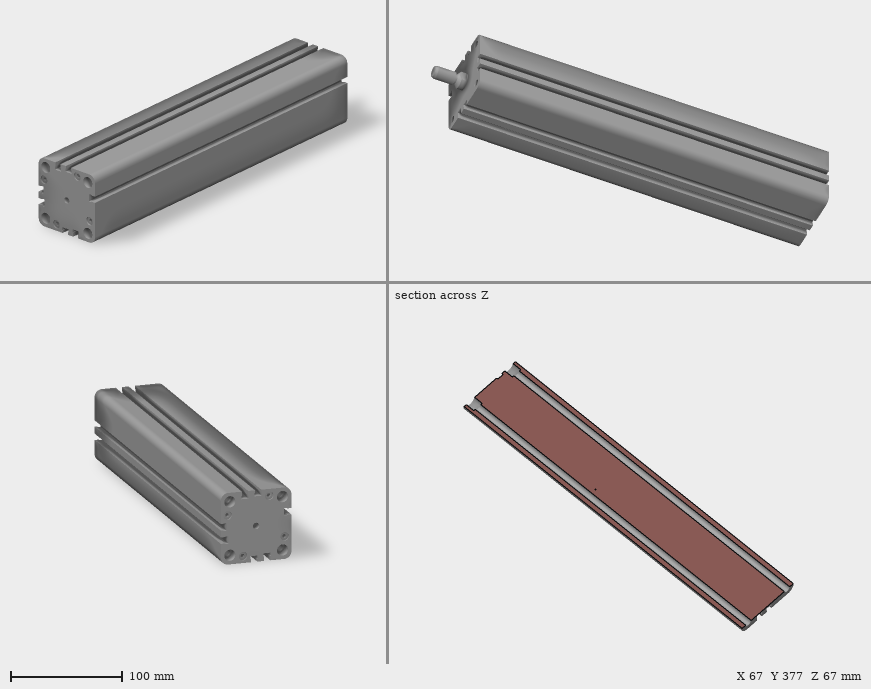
import cadquery as cq
import math

side = 67.0
half_side = side / 2
total_length = 377.0
rod_length = 31.0
body_length = total_length - rod_length
corner_radius = 6.8

slot_width = 6.0
undercut_width = 0.55
undercut_height = 3.0
deep_slot_offset = -10.5
deep_slot_depth = 7.0
deep_slot_angles = (0, 90, 180, 270)
shallow_slot_offset = 2.0
shallow_slot_depth = 5.5
shallow_slot_angles = (0, 90, 180)

mount_hole_spacing = 50.0
mount_hole_diameter = 6.8
counterbore_diameter = 10.5
counterbore_depth = 9.5
center_hole_diameter = 6.0
center_hole_depth = 5.5

screw_x = -27.0
screw_z = 12.5
screw_diameter = 8.0
screw_recess = 1.5
socket_flats = 3.5
socket_depth = 3.0

rod_diameter = 16.0
rod_collar_length = 5.5
rod_cone_length = 3.0
neck_diameter = 8.5
neck_length = 2.0
thread_diameter = 12.0
tip_diameter = 10.0
tip_chamfer_length = 2.5
wrench_flats = 12.5
flat_start = 1.0


def on_front(x, z):
    """Workplane on the front end face, pointing into the body."""
    return cq.Workplane(cq.Plane(origin=(x, 0, z), xDir=(-1, 0, 0), normal=(0, 1, 0)))


def turned(shape, angle):
    """Turn a shape about the long axis, counterclockwise as seen from the front."""
    return shape.rotate((0, 0, 0), (0, -1, 0), angle)


def slot(offset, depth):
    """Full-length T-slot in the top side."""
    floor = half_side - depth
    groove = (
        cq.Workplane("XY")
        .box(slot_width, body_length, depth, centered=(True, False, False))
        .translate((offset, 0, floor))
    )
    undercut = (
        cq.Workplane("XY")
        .box(slot_width + 2 * undercut_width, body_length, undercut_height, centered=(True, False, False))
        .translate((offset, 0, floor))
    )
    return groove.union(undercut)


def mount_hole(x, z):
    through = on_front(x, z).circle(mount_hole_diameter / 2).extrude(body_length)
    counterbore = on_front(x, z).circle(counterbore_diameter / 2).extrude(counterbore_depth)
    return through.union(counterbore)


def screw_pocket():
    recess = on_front(screw_x, screw_z).circle(screw_diameter / 2).extrude(screw_recess)
    socket_corners = socket_flats / math.cos(math.pi / 6)
    socket = (
        on_front(screw_x, screw_z)
        .transformed(rotate=(0, 0, 30))
        .polygon(6, socket_corners)
        .extrude(screw_recess + socket_depth)
    )
    return recess.union(socket)


def piston_rod():
    cone_start = body_length + rod_collar_length
    neck_start = cone_start + rod_cone_length
    thread_start = neck_start + neck_length
    outline = [
        (0, body_length),
        (rod_diameter / 2, body_length),
        (rod_diameter / 2, cone_start),
        (neck_diameter / 2, neck_start),
        (neck_diameter / 2, thread_start),
        (thread_diameter / 2, thread_start),
        (thread_diameter / 2, total_length - tip_chamfer_length),
        (tip_diameter / 2, total_length),
        (0, total_length),
    ]
    rod = cq.Workplane("XY").polyline(outline).close().revolve(360, (0, 0, 0), (0, 1, 0))
    flats_length = thread_start - body_length - flat_start
    flats_middle = body_length + flat_start + flats_length / 2
    for direction in (-1, 1):
        cutter = cq.Workplane("XY").box(rod_diameter, flats_length, rod_diameter)
        rod = rod.cut(cutter.translate((direction * (wrench_flats + rod_diameter) / 2, flats_middle, 0)))
    return rod


body = cq.Workplane("XZ").rect(side, side).extrude(-body_length).edges("|Y").fillet(corner_radius)

for angle in deep_slot_angles:
    body = body.cut(turned(slot(deep_slot_offset, deep_slot_depth), angle))
for angle in shallow_slot_angles:
    body = body.cut(turned(slot(shallow_slot_offset, shallow_slot_depth), angle))

for x_sign in (-1, 1):
    for z_sign in (-1, 1):
        body = body.cut(mount_hole(x_sign * mount_hole_spacing / 2, z_sign * mount_hole_spacing / 2))

for angle in (0, 90, 180, 270):
    body = body.cut(turned(screw_pocket(), angle))

body = body.cut(on_front(0, 0).circle(center_hole_diameter / 2).extrude(center_hole_depth))

result = body.union(piston_rod())